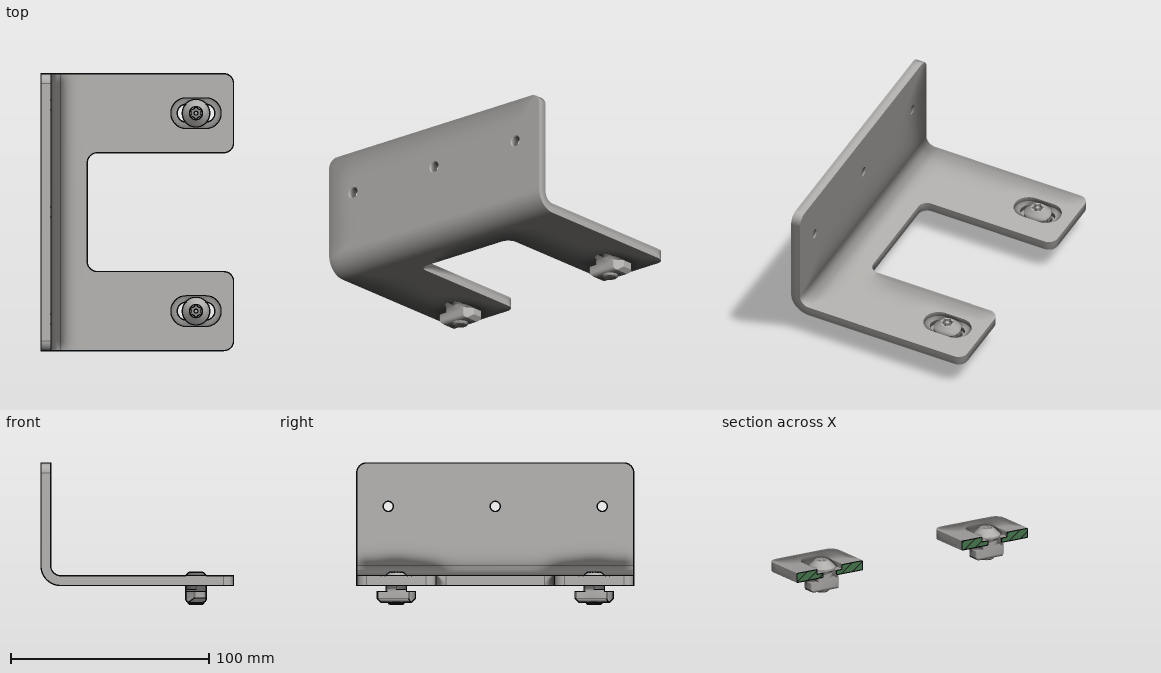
import cadquery as cq

length_y = 140.0
base_reach = 97.5
wall_height = 62.0
thickness = 5.0
bend_inner_radius = 5.0
bend_outer_radius = bend_inner_radius + thickness
corner_radius = 5.0

notch_width = 59.9
notch_start_x = 23.5

wall_hole_diameter = 5.0
wall_hole_mouth_diameter = 6.0
wall_hole_spacing = 54.0
wall_hole_height = 40.0
wall_hole_sink = (wall_hole_mouth_diameter - wall_hole_diameter) / 2

fastener_x = 78.4
fastener_ys = (-50.0, 50.0)
slot_travel = 10.0
slot_width = 9.0
recess_width = 15.5
recess_depth = 2.5
recess_floor_z = thickness - recess_depth

thread_diameter = 8.0
screw_tip_z = -9.5
tip_chamfer = 0.7
head_diameter = 14.0
head_height = 4.3
head_rim_height = 1.0
head_flat_diameter = 6.7
head_top_z = recess_floor_z + head_height
dome_mid_radius = 5.6
dome_mid_height = 2.4

lobe_count = 6
socket_tip_diameter = 6.2
socket_hub_diameter = 4.9
lobe_radius = 0.7
lobe_center_radius = socket_tip_diameter / 2 - lobe_radius
socket_depth = 2.1
socket_pin_diameter = 2.0

nut_width = 10.5
nut_length = 19.5
neck_height = 3.0
neck_round_height = 2.0
neck_edge_radius = 0.5
flange_bottom_z = -8.4
flange_height = -flange_bottom_z - neck_height
flange_corner_x = 4.3
flange_corner_y = 3.2
flange_edge_radius = 0.8
flange_side_radius = 1.8
flange_end_chamfer = 2.1


def make_bent_plate():
    plate = (
        cq.Workplane("XZ")
        .moveTo(bend_outer_radius, 0)
        .lineTo(base_reach, 0)
        .lineTo(base_reach, thickness)
        .lineTo(bend_outer_radius, thickness)
        .radiusArc((thickness, bend_outer_radius), bend_inner_radius)
        .lineTo(thickness, wall_height)
        .lineTo(0, wall_height)
        .lineTo(0, bend_outer_radius)
        .radiusArc((bend_outer_radius, 0), -bend_outer_radius)
        .close()
        .extrude(length_y / 2, both=True)
    )
    notch = cq.Workplane("XY").box(
        base_reach, notch_width, thickness, centered=(False, True, False)
    ).translate((notch_start_x, 0, 0))
    plate = plate.cut(notch)

    plate = plate.edges("|X").edges(">Z").fillet(corner_radius)
    return plate.edges("|Z").edges("<Z").fillet(corner_radius)


def make_slot(width, bottom_z, height):
    return (
        cq.Workplane("XY", origin=(fastener_x, 0, bottom_z))
        .pushPoints([(0, y) for y in fastener_ys])
        .slot2D(slot_travel + width, width)
        .extrude(height)
    )


def make_wall_holes():
    centers = [(i * wall_hole_spacing, wall_hole_height) for i in (-1, 0, 1)]
    wall_face = cq.Workplane("YZ").pushPoints(centers)
    holes = wall_face.circle(wall_hole_diameter / 2).extrude(thickness)
    mouths = wall_face.circle(wall_hole_mouth_diameter / 2).extrude(wall_hole_sink, taper=45)
    return holes.union(mouths)


def make_bracket():
    return (
        make_bent_plate()
        .cut(make_slot(slot_width, 0, thickness))
        .cut(make_slot(recess_width, recess_floor_z, recess_depth))
        .cut(make_wall_holes())
    )


def make_socket():
    """Six-lobed recess with a pin left standing in its middle."""
    floor = cq.Workplane("XY", origin=(0, 0, head_top_z - socket_depth))
    hub = floor.circle(socket_hub_diameter / 2).extrude(socket_depth)
    lobes = (
        floor.polarArray(lobe_center_radius, 90, 360, lobe_count)
        .circle(lobe_radius)
        .extrude(socket_depth)
    )
    pin = floor.circle(socket_pin_diameter / 2).extrude(socket_depth)
    return hub.union(lobes).cut(pin)


def make_screw(x, y):
    thread_radius = thread_diameter / 2
    screw = (
        cq.Workplane("XZ")
        .moveTo(0, screw_tip_z)
        .lineTo(thread_radius - tip_chamfer, screw_tip_z)
        .lineTo(thread_radius, screw_tip_z + tip_chamfer)
        .lineTo(thread_radius, recess_floor_z)
        .lineTo(head_diameter / 2, recess_floor_z)
        .lineTo(head_diameter / 2, recess_floor_z + head_rim_height)
        .threePointArc(
            (dome_mid_radius, recess_floor_z + dome_mid_height),
            (head_flat_diameter / 2, head_top_z),
        )
        .lineTo(0, head_top_z)
        .close()
        .revolve(360, (0, 0, 0), (0, 1, 0))
    )
    return screw.cut(make_socket()).translate((x, y, 0))


def make_nut_neck():
    """Square neck; above its foot, two opposite corners are fully rounded."""
    half = nut_width / 2
    neck = (
        cq.Workplane("XY", origin=(0, 0, -neck_height))
        .rect(nut_width, nut_width)
        .extrude(neck_height)
        .edges("|Z")
        .edges("(<X and >Y) or (>X and <Y)")
        .fillet(neck_edge_radius)
    )
    rounded_top = cq.Workplane("XY", origin=(0, 0, -neck_round_height))
    for side in (-1, 1):
        corner = rounded_top.center(side * half / 2, side * half / 2).rect(half, half)
        round_cut = corner.extrude(neck_round_height).cut(
            rounded_top.circle(half).extrude(neck_round_height)
        )
        neck = neck.cut(round_cut)
    return neck


def make_nut_flange():
    """Block with rounded lower sides, beveled lower ends and two slanted opposite corners."""
    half_x = nut_width / 2
    half_y = nut_length / 2
    slant_x = half_x - flange_corner_x
    slant_y = half_y - flange_corner_y
    base = cq.Workplane("XY", origin=(0, 0, flange_bottom_z))
    end_bevels = (
        base.rect(nut_width, nut_length)
        .extrude(flange_height)
        .edges("<Z and |X")
        .chamfer(flange_end_chamfer)
    )
    block = (
        base.rect(nut_width, nut_length)
        .extrude(flange_height)
        .edges("<Z and |Y")
        .fillet(flange_side_radius)
        .intersect(end_bevels)
    )
    outline = (
        base.polyline([
            (-half_x, half_y),
            (-half_x, -slant_y),
            (-slant_x, -half_y),
            (half_x, -half_y),
            (half_x, slant_y),
            (slant_x, half_y),
        ])
        .close()
        .extrude(flange_height)
        .edges("|Z")
        .fillet(flange_edge_radius)
    )
    return block.intersect(outline)


def make_nut(x, y):
    bore = (
        cq.Workplane("XY", origin=(0, 0, flange_bottom_z))
        .circle(thread_diameter / 2)
        .extrude(-flange_bottom_z)
    )
    return make_nut_flange().union(make_nut_neck()).cut(bore).translate((x, y, 0))


bracket = make_bracket()
screws = [make_screw(fastener_x, y) for y in fastener_ys]
nuts = [make_nut(fastener_x, y) for y in fastener_ys]

result = cq.Compound.makeCompound(
    [body.solids().val() for body in [bracket, *screws, *nuts]]
)